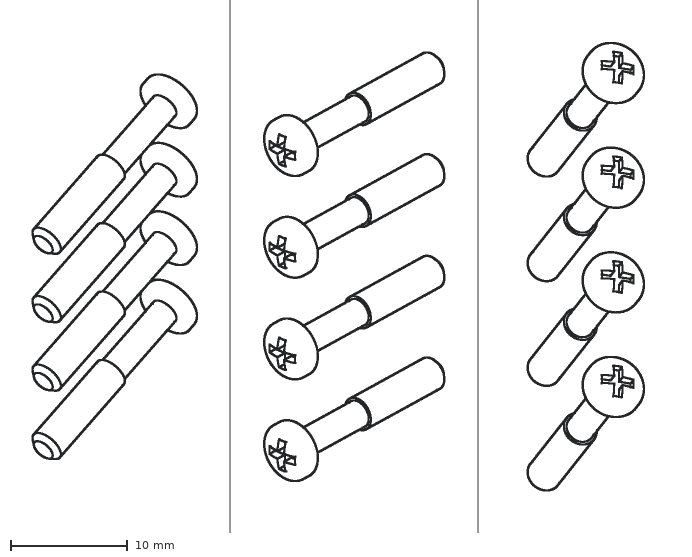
import cadquery as cq
import math


screw_count = 4
screw_pitch = 10.0

neck_radius = 2.5 / 2
neck_length = 8.0
thread_radius = 3.0 / 2
thread_length = 10.0
tip_chamfer = 0.5
shank_length = neck_length + thread_length

head_radius = 5.3 / 2
dome_radius = 5.0
shoulder_radius = 0.5
bearing_edge_radius = 0.2
head_top = 1.95

recess_width = 0.76
recess_span = 2.9
recess_depth = 1.0

corner_distance = math.hypot(recess_width / 2, recess_width / 2)
dome_center_y = head_top - math.sqrt(dome_radius**2 - corner_distance**2)
dome_apex = dome_center_y + dome_radius

shoulder_center_x = head_radius - shoulder_radius
shoulder_center_y = dome_center_y + math.sqrt(
    (dome_radius - shoulder_radius) ** 2 - shoulder_center_x**2
)
dome_edge_angle = math.asin(shoulder_center_x / (dome_radius - shoulder_radius))


def dome_point(angle):
    """Point on the dome at an angle from the screw axis."""
    return (
        dome_radius * math.sin(angle),
        dome_center_y + dome_radius * math.cos(angle),
    )


def shoulder_point(angle):
    """Point on the shoulder arc at an angle from the screw axis."""
    return (
        shoulder_center_x + shoulder_radius * math.sin(angle),
        shoulder_center_y + shoulder_radius * math.cos(angle),
    )


def bearing_edge_middle():
    """Middle of the quarter arc that rounds the bearing edge."""
    inset = bearing_edge_radius * (1 - math.sqrt(0.5))
    return (head_radius - inset, inset)


def make_blank():
    """Head and shank, turned about the Y axis from one half profile."""
    profile = (
        cq.Workplane("XY")
        .moveTo(0, -shank_length)
        .lineTo(thread_radius - tip_chamfer, -shank_length)
        .lineTo(thread_radius, -shank_length + tip_chamfer)
        .lineTo(thread_radius, -neck_length)
        .lineTo(neck_radius, -neck_length)
        .lineTo(neck_radius, 0)
        .lineTo(head_radius - bearing_edge_radius, 0)
        .threePointArc(bearing_edge_middle(), (head_radius, bearing_edge_radius))
        .lineTo(head_radius, shoulder_center_y)
        .threePointArc(
            shoulder_point((dome_edge_angle + math.pi / 2) / 2),
            dome_point(dome_edge_angle),
        )
        .threePointArc(dome_point(dome_edge_angle / 2), (0, dome_apex))
        .close()
    )
    return profile.revolve(360, (0, 0, 0), (0, 1, 0))


def make_recess():
    """Cross-shaped cutter reaching down from the dome apex, arms along X and Z."""
    center = (0, dome_apex - recess_depth / 2, 0)
    arm_x = cq.Workplane("XY").box(recess_span, recess_depth, recess_width)
    arm_z = cq.Workplane("XY").box(recess_width, recess_depth, recess_span)
    return arm_x.union(arm_z).translate(center)


def make_screw(z):
    """One screw with its axis at height z."""
    return make_blank().cut(make_recess()).translate((0, 0, z))


first_z = -screw_pitch * (screw_count - 1) / 2
screws = [make_screw(first_z + i * screw_pitch) for i in range(screw_count)]

result = cq.Compound.makeCompound([screw.solids().val() for screw in screws])